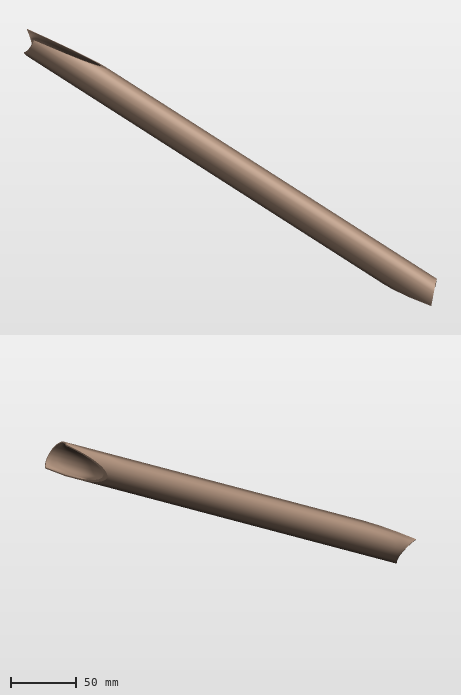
import cadquery as cq

TUBE_RADIUS = 12.5
WALL = 1.0
UPPER_POINT = cq.Vector(-156.0, -3.5, 90.5)
LOWER_POINT = cq.Vector(156.0, 3.5, -92.3)
SPARE_LENGTH = 64.8
AXIS = (LOWER_POINT - UPPER_POINT).normalized()

MITRES = [
    (cq.Vector(-130.5, -2.3, 83.5), cq.Vector(0.32, 0.37, 0.87)),
    (cq.Vector(-154.8, -1.0, 75.8), cq.Vector(-0.9, 0, -0.43)),
    (cq.Vector(-157.0, -14.5, 84.2), cq.Vector(-0.84, -0.4, 0.5)),
    (cq.Vector(135.5, 3.0, -87.8), cq.Vector(-0.26, 0.02, -0.97)),
    (cq.Vector(161.3, 2.5, -81.5), cq.Vector(0.97, 0.14, -0.15)),
]
CUT_SIZE = 194.3


def tube():
    """Straight tube with spare length beyond both end points."""
    start = UPPER_POINT - AXIS * SPARE_LENGTH
    length = (LOWER_POINT - UPPER_POINT).Length + 2 * SPARE_LENGTH
    section = cq.Workplane(cq.Plane(start, normal=AXIS))
    return section.circle(TUBE_RADIUS).circle(TUBE_RADIUS - WALL).extrude(length)


def mitre_block(point, outward):
    """Block filling the removed side of a cut plane."""
    plane = cq.Plane(point, normal=outward)
    return cq.Workplane(plane).rect(CUT_SIZE, CUT_SIZE).extrude(CUT_SIZE)


result = tube()
for cut_point, cut_direction in MITRES:
    result = result.cut(mitre_block(cut_point, cut_direction))